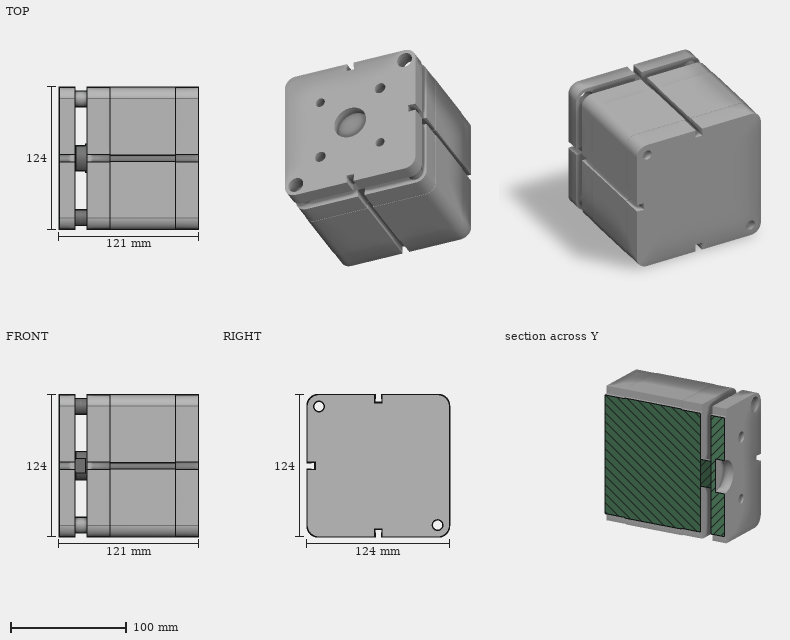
import cadquery as cq

PLATE_THICKNESS = 14.0
GAP = 10.0
CAP_LENGTH = 20.0
BARREL_LENGTH = 57.0

PLATE_BACK = PLATE_THICKNESS
HOUSING_FRONT = PLATE_BACK + GAP
BARREL_FRONT = HOUSING_FRONT + CAP_LENGTH
BARREL_BACK = BARREL_FRONT + BARREL_LENGTH

BARREL_SIDE = 124.0
CAP_SIDE = 123.5
CORNER_RADIUS = 10.0

MOUTH_DEPTH = 3.6
CAP_MOUTH_WIDTH = 6.3
CAP_SLOT_WIDTH = 6.8
CAP_SLOT_DEPTH = 7.1
BARREL_MOUTH_WIDTH = 5.2
BARREL_SLOT_WIDTH = 6.1
BARREL_SLOT_DEPTH = 6.7
SLOT_ANGLES = (0, 90, 180)

CORNER_OFFSET = 51.5
GUIDE_DIAMETER = 13.9
ACCESS_DIAMETER = 14.0
BOLT_HOLE_DIAMETER = 8.9
CENTRE_RECESS_DIAMETER = 30.1
CENTRE_RECESS_DEPTH = 9.3
MOUNT_OFFSET = 28.3
MOUNT_DIAMETER = 10.0
THREAD_DIAMETER = 8.5

ROD_DIAMETER = 25.0
ROD_FLATS = 21.8
FLAT_LENGTH = 8.8
ROD_CHAMFER = 0.5

GUIDE_POINTS = [(CORNER_OFFSET, CORNER_OFFSET), (-CORNER_OFFSET, -CORNER_OFFSET)]
BOLT_POINTS = [(-CORNER_OFFSET, CORNER_OFFSET), (CORNER_OFFSET, -CORNER_OFFSET)]
MOUNT_POINTS = [(-MOUNT_OFFSET, MOUNT_OFFSET), (MOUNT_OFFSET, -MOUNT_OFFSET)]
THREAD_POINTS = [(MOUNT_OFFSET, MOUNT_OFFSET), (-MOUNT_OFFSET, -MOUNT_OFFSET)]


def section_plane(x):
    """Plane across the axis at x, with local coordinates (Y, Z)."""
    return cq.Workplane("YZ", origin=(x, 0, 0))


def cylinders(points, diameter, x, length):
    """Round bars along X, starting at x, one at each (Y, Z) point."""
    return section_plane(x).pushPoints(points).circle(diameter / 2).extrude(length)


def slot_cutter(x, length, side, mouth_width, slot_width, depth):
    """Slot in the +Z side: the mouth reaches MOUTH_DEPTH, the wider part goes on to the floor."""
    top = side / 2
    step = top - MOUTH_DEPTH
    floor = top - depth
    outline = [
        (-mouth_width / 2, top),
        (-mouth_width / 2, step),
        (-slot_width / 2, step),
        (-slot_width / 2, floor),
        (slot_width / 2, floor),
        (slot_width / 2, step),
        (mouth_width / 2, step),
        (mouth_width / 2, top),
    ]
    return section_plane(x).polyline(outline).close().extrude(length)


def slotted_block(x, length, side, mouth_width, slot_width, slot_depth):
    """Square block with rounded corners and a sensor slot along three sides."""
    block = section_plane(x).rect(side, side).extrude(length).edges("|X").fillet(CORNER_RADIUS)
    slot = slot_cutter(x, length, side, mouth_width, slot_width, slot_depth)
    for angle in SLOT_ANGLES:
        block = block.cut(slot.rotate((0, 0, 0), (1, 0, 0), angle))
    return block


def cap_block(x, length):
    return slotted_block(x, length, CAP_SIDE, CAP_MOUTH_WIDTH, CAP_SLOT_WIDTH, CAP_SLOT_DEPTH)


def barrel_block(x, length):
    return slotted_block(x, length, BARREL_SIDE, BARREL_MOUTH_WIDTH, BARREL_SLOT_WIDTH, BARREL_SLOT_DEPTH)


def make_plate():
    """Yoke plate with the section of the caps, a centre recess, access holes and mounting holes."""
    plate = cap_block(0, PLATE_THICKNESS)
    plate = plate.cut(cylinders([(0, 0)], CENTRE_RECESS_DIAMETER, 0, CENTRE_RECESS_DEPTH))
    plate = plate.cut(cylinders(BOLT_POINTS, ACCESS_DIAMETER, 0, PLATE_THICKNESS))
    plate = plate.cut(cylinders(MOUNT_POINTS, MOUNT_DIAMETER, 0, PLATE_THICKNESS))
    return plate.cut(cylinders(THREAD_POINTS, THREAD_DIAMETER, 0, PLATE_THICKNESS))


def make_housing():
    """Barrel between two slightly smaller caps, with two bolt holes running end to end."""
    housing = barrel_block(BARREL_FRONT, BARREL_LENGTH)
    for cap_front in (HOUSING_FRONT, BARREL_BACK):
        housing = housing.union(cap_block(cap_front, CAP_LENGTH))
    length = BARREL_BACK + CAP_LENGTH - HOUSING_FRONT
    return housing.cut(cylinders(BOLT_POINTS, BOLT_HOLE_DIAMETER, HOUSING_FRONT, length))


def make_piston_rod():
    """Round rod, chamfered at the plate, with two wrench flats that stop short of the housing."""
    rod = cylinders([(0, 0)], ROD_DIAMETER, PLATE_BACK, GAP).faces("<X").chamfer(ROD_CHAMFER)
    flats = section_plane(PLATE_BACK).rect(ROD_FLATS, ROD_DIAMETER).extrude(FLAT_LENGTH)
    collar_front = PLATE_BACK + FLAT_LENGTH
    collar = section_plane(collar_front).rect(ROD_DIAMETER, ROD_DIAMETER).extrude(GAP - FLAT_LENGTH)
    return rod.intersect(flats.union(collar))


def make_guide_rods():
    """Two separate rods between the plate and the housing."""
    return cylinders(GUIDE_POINTS, GUIDE_DIAMETER, PLATE_BACK, GAP)


plate = make_plate()
housing = make_housing()
piston_rod = make_piston_rod()
guide_rods = make_guide_rods()
result = cq.Compound.makeCompound([plate.val(), housing.val(), piston_rod.val(), *guide_rods.vals()])